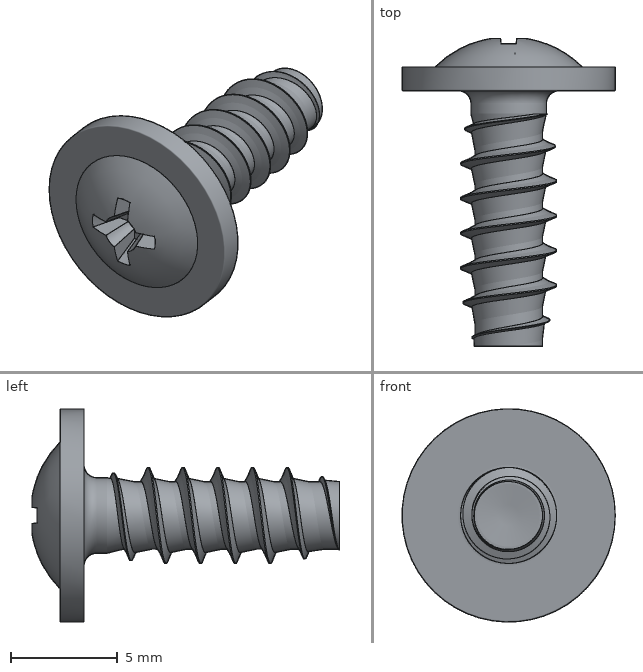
import cadquery as cq
import math


overall_length = 14.44

flange_diameter = 10.0
flange_radius = flange_diameter / 2
flange_thickness = 1.13
flange_edge_fillet = 0.06
head_height = 2.45
dome_radius = 4.91

recess_center_radius = 0.92
recess_depth = 1.45
recess_floor_radius = 0.58
wing_reach = 1.78
wing_floor_reach = 1.08
wing_width = 0.75
wing_floor_width = 0.43
dome_center_y = head_height - math.sqrt(dome_radius**2 - recess_center_radius**2)
wing_rim_y = dome_center_y + math.sqrt(dome_radius**2 - wing_reach**2)
recess_floor_y = head_height - recess_depth
recess_clearance = 0.15
recess_top_y = dome_center_y + dome_radius + recess_clearance

shank_radius = 1.78
shank_length = 1.08
head_fillet = 0.59
core_radius = 1.59
core_taper_length = 0.77
screw_length = overall_length - head_height
dimple_radius = 1.47
dimple_depth = 0.16

pitch = 1.63
thread_start_depth = 0.97
crest_radius = 2.25
start_crest_radius = 1.93
end_crest_radius = 1.62
fade_in_turns = 1.25
full_turns = 4.0
fade_out_turns = 1.5
crest_half_width = 0.03
knee_offset = 0.17
knee_height_ratio = 0.46
head_foot_offset = 0.36
tip_foot_offset = 0.23
tip_foot_radius = 1.75
ramp_end_offset = 1.13
buried_radius = 1.56
inner_radius = 1.3


def make_body():
    """Flange, dome, shank and core, turned as one profile around the screw axis."""
    dome_base = math.sqrt(dome_radius**2 - (flange_thickness - dome_center_y) ** 2)
    dome_top_y = dome_center_y + dome_radius
    mid_radius = dome_base / 2
    mid_y = dome_center_y + math.sqrt(dome_radius**2 - mid_radius**2)
    fillet_mid = head_fillet * (1 - math.sqrt(0.5))
    profile = (
        cq.Workplane("XY")
        .moveTo(0, dome_top_y)
        .threePointArc((mid_radius, mid_y), (dome_base, flange_thickness))
        .lineTo(flange_radius, flange_thickness)
        .lineTo(flange_radius, 0)
        .lineTo(shank_radius + head_fillet, 0)
        .threePointArc((shank_radius + fillet_mid, -fillet_mid), (shank_radius, -head_fillet))
        .lineTo(shank_radius, -shank_length)
        .lineTo(core_radius, -shank_length - core_taper_length)
        .lineTo(core_radius, -screw_length)
        .lineTo(0, -screw_length)
        .close()
    )
    body = profile.revolve(360, (0, 0, 0), (0, 1, 0))
    rim = cq.selectors.RadiusNthSelector(-1)
    return body.edges("%CIRCLE").edges(rim).fillet(flange_edge_fillet)


def thread_section(crest):
    """Corners of the thread section as (radius, distance towards the tip from the crest).

    A lower crest makes the ridge narrower in proportion; the ramp behind it keeps its length.
    """
    fullness = (crest - core_radius) / (crest_radius - core_radius)
    knee_radius = core_radius + knee_height_ratio * (crest - core_radius)
    return [
        (inner_radius, -head_foot_offset * fullness),
        (buried_radius, -head_foot_offset * fullness),
        (knee_radius, -knee_offset * fullness),
        (crest, -crest_half_width * fullness),
        (crest, crest_half_width * fullness),
        (min(tip_foot_radius, crest), tip_foot_offset * fullness),
        (buried_radius, ramp_end_offset),
        (inner_radius, ramp_end_offset),
    ]


def section_face(crest, turn):
    """Flat end face of the thread at the given turn."""
    points = [cq.Vector(radius, 0, axial + turn * pitch) for radius, axial in thread_section(crest)]
    face = cq.Face.makeFromWires(cq.Wire.makePolygon(points, close=True))
    return face.rotate(cq.Vector(), cq.Vector(0, 0, 1), 360 * turn)


def corner_helix(first_corner, last_corner, first_turn, turns):
    """Helix around Z running evenly from a corner of one section to the same corner of another."""
    first_radius, first_axial = first_corner
    last_radius, last_axial = last_corner
    start = cq.Vector(0, 0, first_axial + first_turn * pitch)
    height = turns * pitch + last_axial - first_axial
    growth = last_radius - first_radius
    if growth == 0:
        helix = cq.Wire.makeHelix(height / turns, height, first_radius, start)
    else:
        slope_height = math.hypot(height, growth)
        cone_angle = math.degrees(math.atan2(growth, height))
        helix = cq.Wire.makeHelix(slope_height / turns, slope_height, first_radius, start, angle=cone_angle)
    return helix.rotate(cq.Vector(), cq.Vector(0, 0, 1), 360 * first_turn).Edges()[0]


def thread_stretch(first_turn, turns, first_crest, last_crest):
    """Side faces of a stretch of thread whose crest changes evenly from one radius to another."""
    corners = zip(thread_section(first_crest), thread_section(last_crest))
    helices = [corner_helix(first, last, first_turn, turns) for first, last in corners]
    next_helices = helices[1:] + helices[:1]
    return [cq.Face.makeRuledSurface(edge, next_edge) for edge, next_edge in zip(helices, next_helices)]


def make_thread_envelope():
    """Cylinder from the end of the plain shank to the tip; the thread is squared off at both ends."""
    length = screw_length - shank_length
    base = cq.Vector(0, -screw_length, 0)
    return cq.Workplane(cq.Solid.makeCylinder(flange_radius, length, base, cq.Vector(0, 1, 0)))


def make_thread():
    """Complete thread: fade-in, full depth and fade-out closed into one solid."""
    stretches = [
        (fade_in_turns, start_crest_radius, crest_radius),
        (full_turns, crest_radius, crest_radius),
        (fade_out_turns, crest_radius, end_crest_radius),
    ]
    turn = 0
    faces = [section_face(start_crest_radius, turn)]
    for turns, first_crest, last_crest in stretches:
        faces += thread_stretch(turn, turns, first_crest, last_crest)
        turn += turns
    faces.append(section_face(end_crest_radius, turn))
    shell = cq.Shell.makeShell(faces)
    thread = cq.Workplane(cq.Solid.makeSolid(shell))
    placed = thread.rotate((0, 0, 0), (1, 0, 0), 90).translate((0, -thread_start_depth, 0))
    return placed.intersect(make_thread_envelope())


def cone_to_floor(rim_radius, rim_y, floor_radius):
    """Cone around the axis from the recess floor, widening through the rim and past the dome."""
    spread = (rim_radius - floor_radius) / (rim_y - recess_floor_y)
    top_radius = rim_radius + spread * (recess_top_y - rim_y)
    return (
        cq.Workplane("XY")
        .moveTo(0, recess_floor_y)
        .lineTo(floor_radius, recess_floor_y)
        .lineTo(top_radius, recess_top_y)
        .lineTo(0, recess_top_y)
        .close()
        .revolve(360, (0, 0, 0), (0, 1, 0))
    )


def make_recess():
    """Cross recess: a tapered centre with four tapered wings along X and Z."""
    spread = (wing_width - wing_floor_width) / recess_depth
    top_width = wing_floor_width + spread * (recess_top_y - recess_floor_y)
    bar = (
        cq.Workplane("XY")
        .polyline(
            [
                (-wing_floor_width / 2, recess_floor_y),
                (wing_floor_width / 2, recess_floor_y),
                (top_width / 2, recess_top_y),
                (-top_width / 2, recess_top_y),
            ]
        )
        .close()
        .extrude(flange_radius, both=True)
    )
    cross = bar.union(bar.rotate((0, 0, 0), (0, 1, 0), 90))
    wings = cross.intersect(cone_to_floor(wing_reach, wing_rim_y, wing_floor_reach))
    return wings.union(cone_to_floor(recess_center_radius, head_height, recess_floor_radius))


def make_tip_dimple():
    """Shallow cone sunk into the tip."""
    cone = cq.Solid.makeCone(
        dimple_radius, 0, dimple_depth, cq.Vector(0, -screw_length, 0), cq.Vector(0, 1, 0)
    )
    return cq.Workplane(cone)


screw = make_body().union(make_thread()).cut(make_tip_dimple()).cut(make_recess())
result = screw.solids()